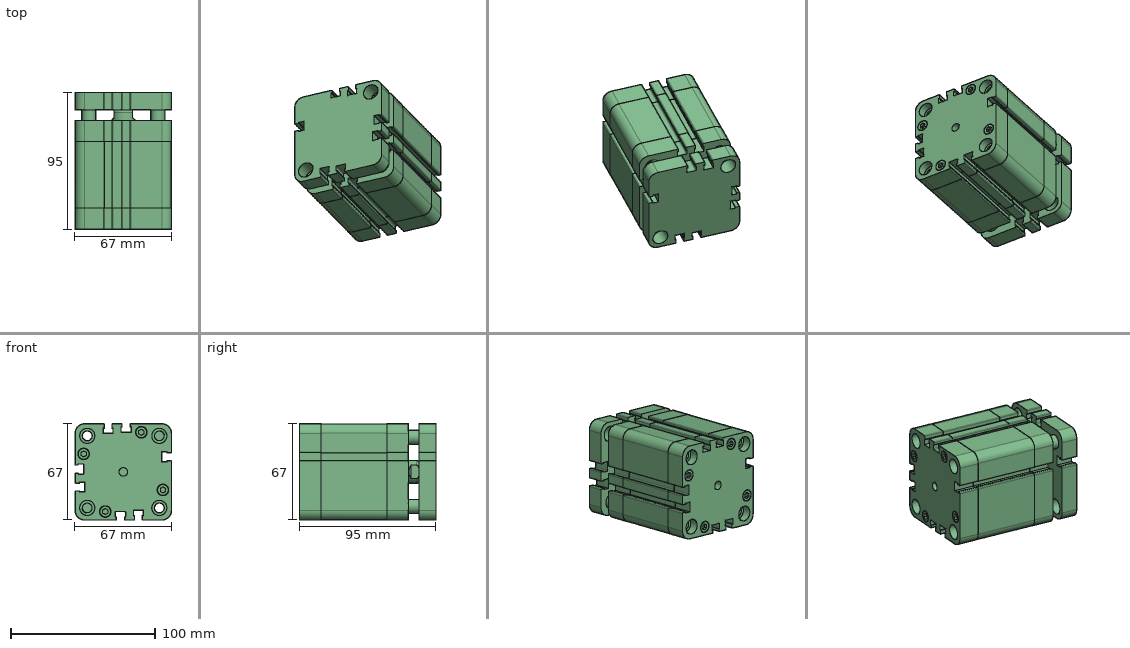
import cadquery as cq
import math


total_length = 95.0
plate_thickness = 12.0
gap_length = 7.3
cap_length = 14.9
body_length = total_length - plate_thickness - gap_length
barrel_length = body_length - 2 * cap_length
plate_start = body_length + gap_length

cap_side = 67.0
barrel_side = 66.7
cap_corner_radius = 6.75
barrel_corner_radius = 6.4

mounting_slot_lip = 3.1
cap_mounting_slot = (-10.55, 5.6, 7.0, mounting_slot_lip, 7.0, 0.5)
barrel_mounting_slot = (-10.5, 5.2, 6.5, mounting_slot_lip, 6.5, 0.5)
sensor_slot = (1.95, 5.6, 7.0, 2.1, 5.9, 0.5)
sensor_slot_corner_radius = 0.5
all_turns = (0, 1, 2, 3)
mounting_slot_turns = all_turns
sensor_slot_turns = (0, 1, 2)

corner_hole_offset = 25.0
corner_bore_diameter = 6.65
counterbore_diameter = 10.5
counterbore_depth = 6.5
plate_hole_diameter = 11.0

screw_offset_across = 12.5
screw_offset_up = 27.5
screw_recess_diameter = 8.0
screw_head_diameter = 7.5
screw_recess_depth = 4.0
hex_across_corners = 4.2
hex_depth = 2.0
centre_hole_diameter = 6.0
centre_hole_depth = 10.0

rod_diameter = 16.0
rod_flats_width = 13.0
rod_end_radius = 2.0
rod_end_length = 1.75
flat_clearance = 0.35
guide_rod_diameter = 10.0
guide_rod_offset = 24.0


def section_plane(y):
    """XZ workplane at Y = y; extrusions from it run toward -Y."""
    return cq.Workplane("XZ", origin=(0, y, 0))


def cylinder(x, z, diameter, start, end):
    return section_plane(end).center(x, z).circle(diameter / 2).extrude(end - start)


def quarter_turn(solid, turns):
    """Turn a solid about Y from the top side toward the -X side."""
    return solid.rotate((0, 0, 0), (0, 1, 0), -90 * turns)


def slot_cutter(slot, surface, start, end):
    """T-shaped cutter with rounded lips, sunk into a top side at Z = surface."""
    centre, opening, inner, lip_depth, depth, lip_radius = slot
    left = centre - opening / 2
    right = centre + opening / 2
    inner_left = centre - inner / 2
    inner_right = centre + inner / 2
    lip_bottom = surface - lip_depth
    floor = surface - depth
    round_end = surface - lip_radius
    arc_inset = lip_radius * (1 - math.sqrt(0.5))
    return (
        section_plane(end)
        .moveTo(left - lip_radius, surface)
        .threePointArc((left - arc_inset, surface - arc_inset), (left, round_end))
        .lineTo(left, lip_bottom)
        .lineTo(inner_left, lip_bottom)
        .lineTo(inner_left, floor)
        .lineTo(inner_right, floor)
        .lineTo(inner_right, lip_bottom)
        .lineTo(right, lip_bottom)
        .lineTo(right, round_end)
        .threePointArc((right + arc_inset, surface - arc_inset), (right + lip_radius, surface))
        .close()
        .extrude(end - start)
    )


def sensor_slot_cutter(surface, start, end):
    """Sensor slot whose inner wall on the -X side has rounded corners."""
    cutter = slot_cutter(sensor_slot, surface, start, end)
    centre, _, inner = sensor_slot[:3]
    wall_x = centre - inner / 2
    tolerance = 0.01
    wall_edges = cq.selectors.BoxSelector(
        (wall_x - tolerance, start - tolerance, 0),
        (wall_x + tolerance, end + tolerance, surface),
    )
    return cutter.edges("|Y").edges(wall_edges).fillet(sensor_slot_corner_radius)


def slotted_block(start, end, side, corner_radius, mounting_slot):
    block = section_plane(end).rect(side, side).extrude(end - start)
    block = block.edges("|Y").fillet(corner_radius)
    mounting_cutter = slot_cutter(mounting_slot, side / 2, start, end)
    for turns in mounting_slot_turns:
        block = block.cut(quarter_turn(mounting_cutter, turns))
    sensor_cutter = sensor_slot_cutter(side / 2, start, end)
    for turns in sensor_slot_turns:
        block = block.cut(quarter_turn(sensor_cutter, turns))
    return block


def body():
    barrel_end = cap_length + barrel_length
    screw_cap = slotted_block(0, cap_length, cap_side, cap_corner_radius, cap_mounting_slot)
    barrel = slotted_block(cap_length, barrel_end, barrel_side, barrel_corner_radius, barrel_mounting_slot)
    rod_cap = slotted_block(barrel_end, body_length, cap_side, cap_corner_radius, cap_mounting_slot)
    return screw_cap.union(barrel).union(rod_cap)


def corner_holes():
    """Counterbored holes along the whole body, one in each corner."""
    hole = cylinder(corner_hole_offset, corner_hole_offset, corner_bore_diameter, 0, body_length)
    counterbore = cylinder(
        corner_hole_offset, corner_hole_offset, counterbore_diameter, 0, counterbore_depth
    )
    hole = hole.union(counterbore)
    holes = hole
    for turns in all_turns[1:]:
        holes = holes.union(quarter_turn(hole, turns))
    return holes


def cover_screw_cutter(turns):
    """Ring gap around a flush screw head, and its hexagon socket with corners up and down."""
    x, z = screw_offset_across, screw_offset_up
    for _ in range(turns):
        x, z = -z, x
    recess = cylinder(x, z, screw_recess_diameter, 0, screw_recess_depth)
    head = cylinder(x, z, screw_head_diameter, 0, screw_recess_depth)
    socket = (
        section_plane(hex_depth)
        .center(x, z)
        .transformed(rotate=(0, 0, 90))
        .polygon(6, hex_across_corners)
        .extrude(hex_depth)
    )
    return recess.cut(head).union(socket)


def front_plate():
    plate = slotted_block(plate_start, total_length, cap_side, cap_corner_radius, cap_mounting_slot)
    for sign in (-1, 1):
        plate = plate.cut(
            cylinder(
                sign * corner_hole_offset,
                -sign * corner_hole_offset,
                plate_hole_diameter,
                plate_start,
                total_length,
            )
        )
    return plate


def piston_rod():
    """Rod between body and plate, rounded at the plate, with two wrench flats."""
    radius = rod_diameter / 2

    def rounded_end_radius(distance):
        """Rod radius at a distance past the start of the rounded end."""
        return radius - rod_end_radius + math.sqrt(rod_end_radius**2 - distance**2)

    end_start = plate_start - rod_end_length
    arc_middle = rod_end_length / 2
    flat = rod_flats_width / 2
    runout_start = body_length + flat_clearance
    flat_start = runout_start + radius - flat
    rod = (
        cq.Workplane("XY")
        .moveTo(0, body_length)
        .lineTo(radius, body_length)
        .lineTo(radius, end_start)
        .threePointArc(
            (rounded_end_radius(arc_middle), end_start + arc_middle),
            (rounded_end_radius(rod_end_length), plate_start),
        )
        .lineTo(0, plate_start)
        .close()
        .revolve(360, (0, 0, 0), (0, 1, 0))
    )
    wrench_outline = (
        cq.Workplane("XY")
        .moveTo(-radius, body_length)
        .lineTo(radius, body_length)
        .lineTo(radius, runout_start)
        .lineTo(flat, flat_start)
        .lineTo(flat, plate_start)
        .lineTo(-flat, plate_start)
        .lineTo(-flat, flat_start)
        .lineTo(-radius, runout_start)
        .close()
        .extrude(radius, both=True)
    )
    return rod.intersect(wrench_outline)


def guide_rod(sign):
    return cylinder(
        sign * guide_rod_offset,
        sign * guide_rod_offset,
        guide_rod_diameter,
        body_length,
        plate_start,
    )


result = body().cut(corner_holes())
for screw_turns in all_turns:
    result = result.cut(cover_screw_cutter(screw_turns))
result = result.cut(cylinder(0, 0, centre_hole_diameter, 0, centre_hole_depth))
result = result.union(front_plate()).union(piston_rod())
for rod_sign in (-1, 1):
    result = result.union(guide_rod(rod_sign))